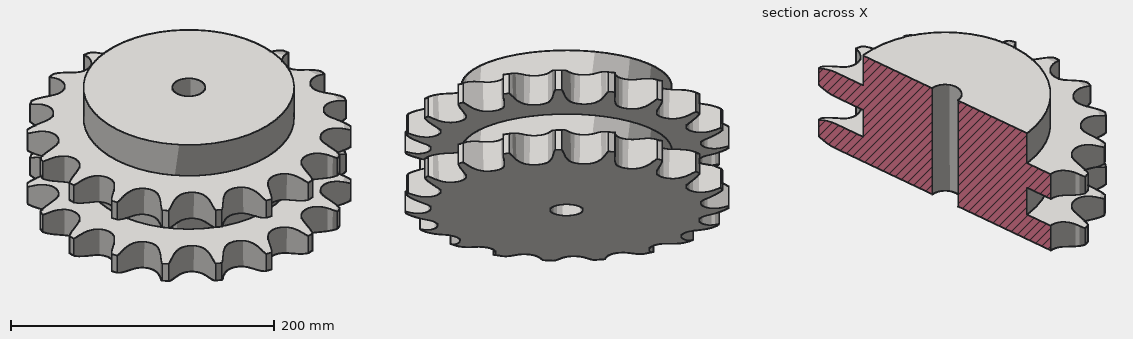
import cadquery as cq
import math


AXIS = (0, 0)

CHAIN_PITCH = 38.1
ROLLER_DIAMETER = 25.4
ROW_SPACING = 48.36

TOOTH_COUNT = 19
ROW_COUNT = 2
TIP_DIAMETER = 246.5
ROW_THICKNESS = 23.6
HUB_DIAMETER = 160.0
TOTAL_HEIGHT = 100.0
BORE_DIAMETER = 25.0
FIRST_TOOTH_ANGLE = -90.0

BEVEL_WIDTH = 17.0
BEVEL_RADIUS = CHAIN_PITCH

SEAT_CLEARANCE = 0.0762
ARC_ALLOWANCE = 0.0381
TOOTH_ANGLE = 360.0 / TOOTH_COUNT
TIP_RADIUS = TIP_DIAMETER / 2
PITCH_RADIUS = CHAIN_PITCH / 2 / math.sin(math.radians(TOOTH_ANGLE / 2))
SEAT_RADIUS = (1.005 * ROLLER_DIAMETER + SEAT_CLEARANCE) / 2
SEAT_END_ANGLE = 35.0 + 60.0 / TOOTH_COUNT
WORKING_ANGLE = 18.0 - 56.0 / TOOTH_COUNT
WORKING_RADIUS = 1.3025 * ROLLER_DIAMETER + ARC_ALLOWANCE
PRESSURE_ANGLE = 17.0 - 64.0 / TOOTH_COUNT
STRAIGHT_LENGTH = ROLLER_DIAMETER * (
    1.4 * math.sin(math.radians(PRESSURE_ANGLE)) - 0.8 * math.sin(math.radians(WORKING_ANGLE))
)
TOPPING_RADIUS = (
    ROLLER_DIAMETER
    * (
        0.8 * math.cos(math.radians(WORKING_ANGLE))
        + 1.4 * math.cos(math.radians(PRESSURE_ANGLE))
        - 1.3025
    )
    - ARC_ALLOWANCE
)


def direction(start, end):
    """Angle in degrees of the line from one point to another."""
    return math.degrees(math.atan2(end[1] - start[1], end[0] - start[0]))


def offset(point, distance, angle):
    """Point at a distance from another one, in the direction of an angle in degrees."""
    return (
        point[0] + distance * math.cos(math.radians(angle)),
        point[1] + distance * math.sin(math.radians(angle)),
    )


def rotate(point, angle):
    """Point turned about the sprocket axis by an angle in degrees."""
    return offset(AXIS, math.hypot(*point), direction(AXIS, point) + angle)


def flank_points():
    """Right flank of a tooth that points along +Y, from the middle of its roller seat to the tip.

    Each arc gives its middle and end points, the straight part only its end point.
    """
    seat_centre = offset(AXIS, PITCH_RADIUS, 90 - TOOTH_ANGLE / 2)
    root_direction = 270 - TOOTH_ANGLE / 2
    seat_end_direction = 180 - TOOTH_ANGLE / 2 + SEAT_END_ANGLE
    seat_middle_direction = (root_direction + seat_end_direction) / 2
    working_end_direction = seat_end_direction - WORKING_ANGLE

    root = offset(seat_centre, SEAT_RADIUS, root_direction)
    seat_middle = offset(seat_centre, SEAT_RADIUS, seat_middle_direction)
    seat_end = offset(seat_centre, SEAT_RADIUS, seat_end_direction)

    working_centre = offset(seat_end, -WORKING_RADIUS, seat_end_direction)
    working_middle = offset(working_centre, WORKING_RADIUS, seat_end_direction - WORKING_ANGLE / 2)
    working_end = offset(working_centre, WORKING_RADIUS, working_end_direction)

    straight_end = offset(working_end, STRAIGHT_LENGTH, working_end_direction - 90)

    topping_centre = offset(straight_end, TOPPING_RADIUS, working_end_direction)
    centre_distance = math.hypot(*topping_centre)
    centre_direction = direction(AXIS, topping_centre)
    tip_swing_cosine = (TIP_RADIUS**2 + centre_distance**2 - TOPPING_RADIUS**2) / (
        2 * TIP_RADIUS * centre_distance
    )
    tip_swing = math.degrees(math.acos(tip_swing_cosine))
    tip = offset(AXIS, TIP_RADIUS, centre_direction - tip_swing)
    topping_start = direction(topping_centre, straight_end)
    topping_end = direction(topping_centre, tip)
    topping_middle = offset(topping_centre, TOPPING_RADIUS, (topping_start + topping_end) / 2)

    return [
        root,
        seat_middle,
        seat_end,
        working_middle,
        working_end,
        straight_end,
        topping_middle,
        tip,
    ]


def toothed_plate():
    """Flat plate with the full tooth outline."""
    right_flank = flank_points()
    left_flank = [(-x, y) for x, y in right_flank]
    first_turn = FIRST_TOOTH_ANGLE - 90
    outline = cq.Workplane("XY").moveTo(*rotate(right_flank[0], first_turn))
    for tooth in range(TOOTH_COUNT):
        turn = first_turn + tooth * TOOTH_ANGLE
        _, seat_mid, seat_end, work_mid, work_end, straight_end, top_mid, tip = [
            rotate(point, turn) for point in right_flank
        ]
        outline = outline.threePointArc(seat_mid, seat_end)
        outline = outline.threePointArc(work_mid, work_end)
        outline = outline.lineTo(*straight_end)
        outline = outline.threePointArc(top_mid, tip)

        root, seat_mid, seat_end, work_mid, work_end, straight_end, top_mid, tip = [
            rotate(point, turn) for point in left_flank
        ]
        outline = outline.threePointArc(rotate((0, TIP_RADIUS), turn), tip)
        outline = outline.threePointArc(top_mid, straight_end)
        outline = outline.lineTo(*work_end)
        outline = outline.threePointArc(work_mid, seat_end)
        outline = outline.threePointArc(seat_mid, root)
    return outline.close().extrude(ROW_THICKNESS)


def bevelled_blank():
    """Disc whose rim is rounded off on both faces by arcs tangent to the faces."""

    def bevel_depth(distance):
        return BEVEL_RADIUS - math.sqrt(BEVEL_RADIUS**2 - distance**2)

    face_radius = TIP_RADIUS - BEVEL_WIDTH
    middle_radius = face_radius + BEVEL_WIDTH / 2
    middle_depth = bevel_depth(BEVEL_WIDTH / 2)
    rim_depth = bevel_depth(BEVEL_WIDTH)
    return (
        cq.Workplane("XZ")
        .lineTo(face_radius, 0)
        .threePointArc((middle_radius, middle_depth), (TIP_RADIUS, rim_depth))
        .lineTo(TIP_RADIUS, ROW_THICKNESS - rim_depth)
        .threePointArc((middle_radius, ROW_THICKNESS - middle_depth), (face_radius, ROW_THICKNESS))
        .lineTo(0, ROW_THICKNESS)
        .close()
        .revolve(360, (0, 0, 0), (0, 1, 0))
    )


def sprocket():
    """Hub carrying the tooth rows, bored through."""
    tooth_row = toothed_plate().intersect(bevelled_blank())
    body = cq.Workplane("XY").circle(HUB_DIAMETER / 2).extrude(TOTAL_HEIGHT)
    for row in range(ROW_COUNT):
        body = body.union(tooth_row.translate((0, 0, row * ROW_SPACING)))
    bore = cq.Workplane("XY").circle(BORE_DIAMETER / 2).extrude(TOTAL_HEIGHT)
    return body.cut(bore)


result = sprocket()